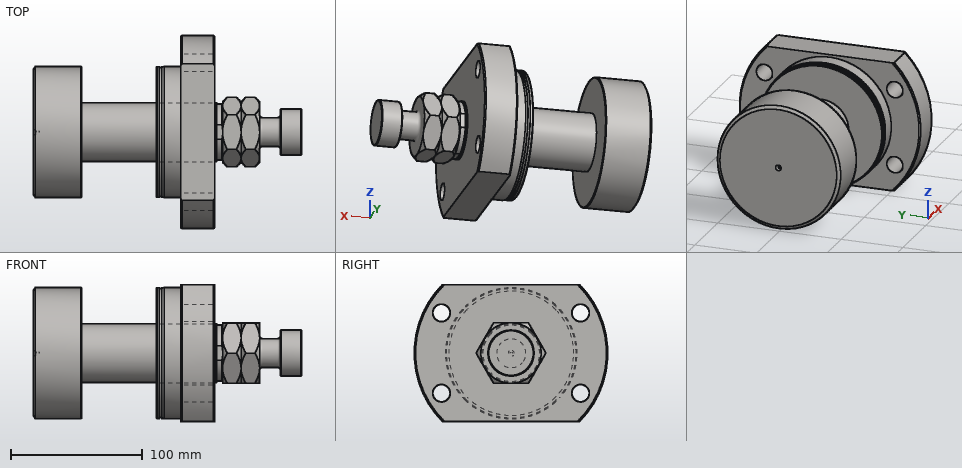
import cadquery as cq
import math


PISTON_LENGTH = 36.7
FLANGE_NOSE_START = 93.5
FLANGE_START = 112.0
FLANGE_END = 138.0
ROD_SHOULDER = 139.1
HEX_START = 143.8
HEX_LENGTH = 14.0
STUD_HEAD_START = 187.7
OVERALL_LENGTH = 204.0

PISTON_RADIUS = 50.0
PISTON_FACE_RADIUS = 47.3
PISTON_FACE_BEVEL = 1.6
ROD_RADIUS = 22.5
ROD_END_RADIUS = 22.0
ROD_END_START = ROD_SHOULDER + ROD_RADIUS - ROD_END_RADIUS
SPANNER_FLATS = 42.6
CENTRE_MOUTH_RADIUS = 2.2
CENTRE_PILOT_RADIUS = 1.0
CENTRE_PILOT_LENGTH = 2.0
CENTRE_CONE_ANGLE = 60
DRILL_POINT_ANGLE = 118

FLANGE_DIAMETER = 147.0
FLANGE_HEIGHT = 104.0
FLANGE_BEVEL = 1.0
BOSS_RADIUS = PISTON_RADIUS
NOSE_RADIUS = 49.8
GROOVE_RADIUS = 49.2
GROOVE_START = 95.9
GROOVE_WIDTH = 1.8
NOSE_LAND_WIDTH = 1.8
BOLT_CIRCLE_RADIUS = 61.0
BOLT_ANGLE = 30
BOLT_HOLE_DIAMETER = 13.0

HEX_ACROSS_FLATS = 46.0
HEX_COUNT = 2
STUD_RADIUS = 11.0
STUD_FILLET = 2.0
STUD_HEAD_RADIUS = 17.5

EDGE_BEVEL = 0.6


def revolve_about_axis(profile):
    """Revolve a closed (X, radius) profile a full turn about the X axis."""
    return profile.close().revolve(360, (0, 0, 0), (1, 0, 0))


def centre_drilling():
    """Countersunk centre hole with a drill point, entering at X = 0."""
    cone_depth = (CENTRE_MOUTH_RADIUS - CENTRE_PILOT_RADIUS) / math.tan(math.radians(CENTRE_CONE_ANGLE / 2))
    pilot_end = cone_depth + CENTRE_PILOT_LENGTH
    point_depth = CENTRE_PILOT_RADIUS / math.tan(math.radians(DRILL_POINT_ANGLE / 2))
    profile = (
        cq.Workplane("XY")
        .lineTo(0, CENTRE_MOUTH_RADIUS)
        .lineTo(cone_depth, CENTRE_PILOT_RADIUS)
        .lineTo(pilot_end, CENTRE_PILOT_RADIUS)
        .lineTo(pilot_end + point_depth, 0)
    )
    return revolve_about_axis(profile)


def rod_end():
    """Reduced rod end with four spanner flats, up to the coupling face."""
    turned = (
        cq.Workplane("YZ", origin=(ROD_END_START, 0, 0))
        .circle(ROD_END_RADIUS)
        .extrude(HEX_START - ROD_END_START)
        .faces(">X")
        .chamfer(EDGE_BEVEL)
    )
    flats = (
        cq.Workplane("YZ", origin=(ROD_END_START, 0, 0))
        .rect(SPANNER_FLATS, SPANNER_FLATS)
        .extrude(HEX_START - ROD_END_START)
    )
    return turned.intersect(flats)


def make_piston_rod():
    """Piston and rod, with a centre hole in the face and flats on the far end."""
    profile = (
        cq.Workplane("XY")
        .lineTo(0, PISTON_FACE_RADIUS)
        .lineTo(PISTON_FACE_BEVEL, PISTON_RADIUS)
        .lineTo(PISTON_LENGTH - EDGE_BEVEL, PISTON_RADIUS)
        .lineTo(PISTON_LENGTH, PISTON_RADIUS - EDGE_BEVEL)
        .lineTo(PISTON_LENGTH, ROD_RADIUS)
        .lineTo(ROD_SHOULDER, ROD_RADIUS)
        .lineTo(ROD_END_START, ROD_END_RADIUS)
        .lineTo(ROD_END_START, 0)
    )
    return revolve_about_axis(profile).union(rod_end()).cut(centre_drilling())


def flange_plate():
    """Round plate, bevelled on its rims and cut to two flats at top and bottom."""
    thickness = FLANGE_END - FLANGE_START
    disc = (
        cq.Workplane("YZ", origin=(FLANGE_START, 0, 0))
        .circle(FLANGE_DIAMETER / 2)
        .extrude(thickness)
        .faces("<X or >X")
        .chamfer(FLANGE_BEVEL)
    )
    flats = (
        cq.Workplane("YZ", origin=(FLANGE_START, 0, 0))
        .rect(FLANGE_DIAMETER, FLANGE_HEIGHT)
        .extrude(thickness)
    )
    return disc.intersect(flats)


def flange_boss():
    """Spigot on the piston side of the plate, with a shallow groove near its nose."""
    groove_end = GROOVE_START + GROOVE_WIDTH
    nose_end = groove_end + NOSE_LAND_WIDTH
    profile = (
        cq.Workplane("XY")
        .moveTo(FLANGE_NOSE_START, 0)
        .lineTo(FLANGE_NOSE_START, NOSE_RADIUS - EDGE_BEVEL)
        .lineTo(FLANGE_NOSE_START + EDGE_BEVEL, NOSE_RADIUS)
        .lineTo(GROOVE_START, NOSE_RADIUS)
        .lineTo(GROOVE_START, GROOVE_RADIUS)
        .lineTo(groove_end, GROOVE_RADIUS)
        .lineTo(groove_end, NOSE_RADIUS)
        .lineTo(nose_end, NOSE_RADIUS)
        .lineTo(nose_end, BOSS_RADIUS)
        .lineTo(FLANGE_START, BOSS_RADIUS)
        .lineTo(FLANGE_START, 0)
    )
    return revolve_about_axis(profile)


def make_flange():
    """Flange with boss, rod bore and four bolt holes."""
    rod_bore = (
        cq.Workplane("YZ", origin=(FLANGE_NOSE_START, 0, 0))
        .circle(ROD_RADIUS)
        .extrude(FLANGE_END - FLANGE_NOSE_START)
    )
    bolt_y = BOLT_CIRCLE_RADIUS * math.cos(math.radians(BOLT_ANGLE))
    bolt_z = BOLT_CIRCLE_RADIUS * math.sin(math.radians(BOLT_ANGLE))
    bolt_holes = (
        cq.Workplane("YZ", origin=(FLANGE_START, 0, 0))
        .rect(2 * bolt_y, 2 * bolt_z, forConstruction=True)
        .vertices()
        .circle(BOLT_HOLE_DIAMETER / 2)
        .extrude(FLANGE_END - FLANGE_START)
    )
    return flange_plate().union(flange_boss()).cut(rod_bore).cut(bolt_holes)


def hexagon(start):
    """Hexagon with flats facing up and down, its corners bevelled at 45 degrees on both ends."""
    corner_radius = HEX_ACROSS_FLATS / math.sqrt(3)
    flat_radius = HEX_ACROSS_FLATS / 2
    bevel_length = corner_radius - flat_radius
    end = start + HEX_LENGTH
    prism = (
        cq.Workplane("YZ", origin=(start, 0, 0))
        .polygon(6, 2 * corner_radius)
        .extrude(HEX_LENGTH)
    )
    bevel_profile = (
        cq.Workplane("XY")
        .moveTo(start, 0)
        .lineTo(start, flat_radius)
        .lineTo(start + bevel_length, corner_radius)
        .lineTo(end - bevel_length, corner_radius)
        .lineTo(end, flat_radius)
        .lineTo(end, 0)
    )
    return prism.intersect(revolve_about_axis(bevel_profile))


def coupling_stud():
    """Necked stud with a round head; the neck is filleted at both ends."""
    stud_start = HEX_START + HEX_COUNT * HEX_LENGTH
    fillet_radius = STUD_RADIUS + STUD_FILLET
    profile = (
        cq.Workplane("XY")
        .moveTo(stud_start, 0)
        .lineTo(stud_start, fillet_radius)
        .radiusArc((stud_start + STUD_FILLET, STUD_RADIUS), -STUD_FILLET)
        .lineTo(STUD_HEAD_START - STUD_FILLET, STUD_RADIUS)
        .radiusArc((STUD_HEAD_START, fillet_radius), -STUD_FILLET)
        .lineTo(STUD_HEAD_START, STUD_HEAD_RADIUS - EDGE_BEVEL)
        .lineTo(STUD_HEAD_START + EDGE_BEVEL, STUD_HEAD_RADIUS)
        .lineTo(OVERALL_LENGTH - EDGE_BEVEL, STUD_HEAD_RADIUS)
        .lineTo(OVERALL_LENGTH, STUD_HEAD_RADIUS - EDGE_BEVEL)
        .lineTo(OVERALL_LENGTH, 0)
    )
    return revolve_about_axis(profile)


def make_coupling():
    """Two hexagons in a row carrying the headed stud."""
    coupling = coupling_stud()
    for index in range(HEX_COUNT):
        coupling = coupling.union(hexagon(HEX_START + index * HEX_LENGTH))
    return coupling


piston_rod = make_piston_rod()
flange = make_flange()
coupling = make_coupling()

result = cq.Compound.makeCompound([piston_rod.val(), flange.val(), coupling.val()])